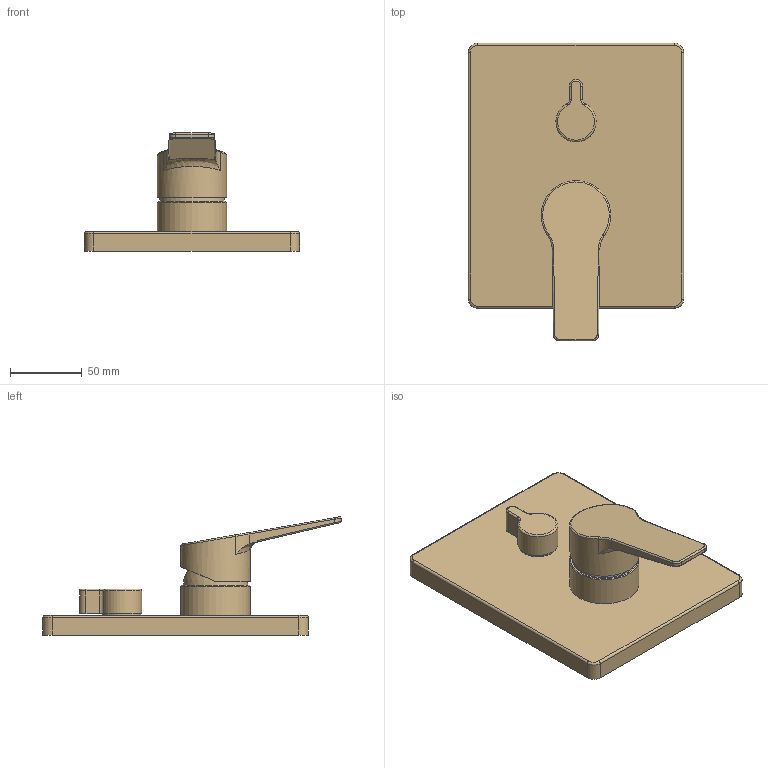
import cadquery as cq
import math

plate_width = 150.0
plate_length = 185.0
plate_height = 13.7
plate_corner_radius = 6.5
plate_edge_radius = 1.5

knob_y = 37.6
knob_radius = 14.0
knob_foot_inset = 0.4
knob_top = 32.1
knob_edge_radius = 1.2
thumb_grip_width = 9.0
thumb_grip_reach = 29.4
thumb_grip_clearance = 1.2
thumb_grip_blend_radius = 3.5

mixer_y = -27.8
base_radius = 24.2
base_top = 34.8
base_edge_chamfer = 0.6
ball_radius = 22.5
ball_center_z = 34.0

overall_length = 207.82
lever_reach = overall_length - plate_length / 2 + mixer_y
hub_radius = base_radius
hub_bottom = 37.4
hub_relief_angle = 23.0
lever_rear_height = 63.3
lever_top = 82.64
handle_half_width = 16.6
handle_tip_half_width = 15.7
handle_tip_thickness = 4.1
handle_under_angle = 13.1
handle_tip_corner_radius = 4.5
hub_blend_radius = 16.0
under_blend_radius = 6.0
lever_edge_radius = 1.0
handle_under_edge_radius = 0.9

overshoot = 15.0

top_slope = (lever_top - lever_rear_height) / (lever_reach + hub_radius)
under_slope = math.tan(math.radians(handle_under_angle))
handle_tip_bottom = lever_top - handle_tip_thickness
relief_rise = hub_radius * math.tan(math.radians(hub_relief_angle))
lever_ceiling = lever_top + overshoot
slab_half_width = hub_radius + overshoot

blend_x = handle_half_width + hub_blend_radius
blend_y = -math.sqrt((hub_radius + hub_blend_radius) ** 2 - blend_x**2)
blend_angle = math.atan2(blend_y, blend_x)
joint_x = hub_radius * math.cos(blend_angle)
joint_y = hub_radius * math.sin(blend_angle)


def make_plate():
    return (
        cq.Workplane("XY")
        .rect(plate_width, plate_length)
        .extrude(plate_height)
        .edges("|Z")
        .fillet(plate_corner_radius)
        .faces(">Z")
        .edges()
        .fillet(plate_edge_radius)
    )


def make_knob():
    grip_bottom = plate_height + thumb_grip_clearance
    grip_height = knob_top - grip_bottom
    half_width = thumb_grip_width / 2
    grip_end_y = thumb_grip_reach - half_width
    level = cq.Workplane("XY", origin=(0, 0, grip_bottom))
    disc = level.circle(knob_radius).extrude(grip_height)
    grip = level.center(0, grip_end_y / 2).rect(thumb_grip_width, grip_end_y).extrude(grip_height)
    grip_end = level.center(0, grip_end_y).circle(half_width).extrude(grip_height)
    head = disc.union(grip).union(grip_end)

    corner_y = math.sqrt(knob_radius**2 - half_width**2)
    middle_z = (grip_bottom + knob_top) / 2
    for corner_x in (-half_width, half_width):
        corner = cq.selectors.NearestToPointSelector((corner_x, corner_y, middle_z))
        head = head.edges(corner).fillet(thumb_grip_blend_radius)
    head = head.faces(">Z").edges().fillet(knob_edge_radius)

    foot = cq.Workplane("XY").circle(knob_radius - knob_foot_inset).extrude(grip_bottom)
    return head.union(foot).translate((0, knob_y, 0))


def make_mixer_base():
    base = cq.Workplane("XY").circle(base_radius).extrude(base_top).faces(">Z").chamfer(base_edge_chamfer)
    ball = cq.Workplane("XY").sphere(ball_radius).translate((0, 0, ball_center_z))
    return base.union(ball).translate((0, mixer_y, 0))


def make_hub():
    """Hub cylinder, left tall for the side profile to trim."""
    height = lever_ceiling - hub_bottom
    return cq.Workplane("XY", origin=(0, 0, hub_bottom)).circle(hub_radius).extrude(height)


def make_under_slab():
    """Oversized slab whose underside is the sloping underside of the handle."""
    rear_y = hub_radius + overshoot
    front_y = -lever_reach - overshoot
    return (
        cq.Workplane("YZ")
        .moveTo(rear_y, handle_tip_bottom - (rear_y + lever_reach) * under_slope)
        .lineTo(rear_y, lever_ceiling)
        .lineTo(front_y, lever_ceiling)
        .lineTo(front_y, handle_tip_bottom - (front_y + lever_reach) * under_slope)
        .close()
        .extrude(slab_half_width, both=True)
    )


def make_handle_bar():
    """Tapered handle with rounded tip corners and a rounded lower rim."""
    bar = (
        cq.Workplane("XY")
        .moveTo(handle_half_width, blend_y)
        .lineTo(handle_tip_half_width, -lever_reach)
        .lineTo(-handle_tip_half_width, -lever_reach)
        .lineTo(-handle_half_width, blend_y)
        .close()
        .extrude(lever_ceiling)
        .edges("|Z and <Y")
        .fillet(handle_tip_corner_radius)
        .intersect(make_under_slab())
    )
    under_face = cq.selectors.ParallelDirSelector(cq.Vector(0, under_slope, 1))
    return bar.faces(under_face).edges("not >Y").fillet(handle_under_edge_radius)


def make_neck():
    """Root of the handle: flared sides and a hollow underside, both running into the hub."""
    blend_setback = under_blend_radius * math.tan(math.radians((90 - handle_under_angle) / 2))
    front_y = -hub_radius - blend_setback
    taper = (handle_half_width - handle_tip_half_width) / (lever_reach + blend_y)
    front_half_width = handle_half_width - taper * (blend_y - front_y)
    middle_angle = math.pi + blend_angle / 2
    middle_x = blend_x + hub_blend_radius * math.cos(middle_angle)
    middle_y = blend_y + hub_blend_radius * math.sin(middle_angle)
    plan = (
        cq.Workplane("XY")
        .moveTo(-joint_x, joint_y)
        .lineTo(joint_x, joint_y)
        .threePointArc((middle_x, middle_y), (handle_half_width, blend_y))
        .lineTo(front_half_width, front_y)
        .lineTo(-front_half_width, front_y)
        .lineTo(-handle_half_width, blend_y)
        .threePointArc((-middle_x, middle_y), (-joint_x, joint_y))
        .close()
        .extrude(lever_ceiling)
    )
    blended = make_hub().union(make_under_slab()).edges("%ELLIPSE").fillet(under_blend_radius)
    return blended.intersect(plan)


def make_lever():
    lever = make_handle_bar().union(make_neck()).union(make_hub())
    profile = (
        cq.Workplane("YZ")
        .moveTo(hub_radius, hub_bottom + relief_rise)
        .lineTo(hub_radius, lever_rear_height)
        .lineTo(-lever_reach, lever_top)
        .lineTo(-lever_reach, hub_bottom)
        .lineTo(0, hub_bottom)
        .close()
        .extrude(slab_half_width, both=True)
    )
    lever = lever.intersect(profile)
    top_face = cq.selectors.ParallelDirSelector(cq.Vector(0, top_slope, 1))
    lever = lever.faces(top_face).edges().fillet(lever_edge_radius)
    return lever.translate((0, mixer_y, 0))


result = make_plate().union(make_knob()).union(make_mixer_base()).union(make_lever())